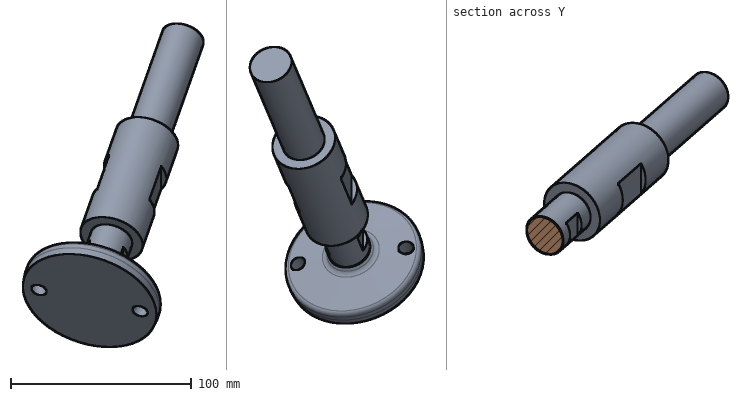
import cadquery as cq
import math


total_length = 197.0

foot_radius = 78.0 / 2
sole_radius = 38.5
lower_band_height = 4.25
rim_height = 7.1
rim_round_radius = 2.8
dish_angle = math.radians(9.7)
foot_height = 16.6
neck_top_radius = 11.6
neck_angle = math.radians(45)
neck_fillet_radius = 5.5

fixing_hole_diameter = 8.5
fixing_hole_offset = 29.1

stem_diameter = 24.0
stem_flat_width = 19.0
stem_flat_start = 23.8
stem_flat_length = 12.5

sleeve_diameter = 36.0
sleeve_start = 46.3
sleeve_length = 75.0
sleeve_flat_width = 30.0
sleeve_flat_length = sleeve_length / 3
sleeve_flat_start = sleeve_start + (sleeve_length - sleeve_flat_length) / 2


def cylinder_along_y(diameter, start, length):
    """Cylinder on the Y axis from Y = start towards +Y."""
    plane = cq.Workplane("XZ", origin=(0, start, 0))
    return plane.circle(diameter / 2).extrude(-length)


def cut_wrench_flats(body, diameter, width, start, length):
    """Cut two opposite flats, facing -X and +X, leaving the given width between them."""
    depth = (diameter - width) / 2
    for side in (-1, 1):
        middle = (side * (width + depth) / 2, start + length / 2, 0)
        body = body.cut(cq.Workplane("XY").box(depth, length, diameter).translate(middle))
    return body


def arc_point(centre, radius, angle):
    """Point on an arc, the angle measured from +X."""
    return (centre[0] + radius * math.cos(angle), centre[1] + radius * math.sin(angle))


def make_foot_disc():
    """Turned disc with a rounded rim, a dished upper face and a conical neck."""
    round_centre = (foot_radius - rim_round_radius, rim_height)
    round_end_angle = math.pi / 2 - dish_angle
    round_middle = arc_point(round_centre, rim_round_radius, round_end_angle / 2)
    round_end = arc_point(round_centre, rim_round_radius, round_end_angle)

    dish_slope = math.tan(dish_angle)
    neck_slope = math.tan(neck_angle)
    dish_height_at_neck_top = round_end[1] + (round_end[0] - neck_top_radius) * dish_slope
    corner_offset = (foot_height - dish_height_at_neck_top) / (neck_slope - dish_slope)
    corner = (neck_top_radius + corner_offset, foot_height - corner_offset * neck_slope)

    tangent_length = neck_fillet_radius * math.tan((neck_angle - dish_angle) / 2)
    fillet_start = arc_point(corner, tangent_length, -dish_angle)
    fillet_end = arc_point(corner, tangent_length, math.pi - neck_angle)
    fillet_centre = arc_point(fillet_start, neck_fillet_radius, math.pi / 2 - dish_angle)
    fillet_middle_angle = -math.pi / 2 - (neck_angle + dish_angle) / 2
    fillet_middle = arc_point(fillet_centre, neck_fillet_radius, fillet_middle_angle)

    return (
        cq.Workplane("XY")
        .lineTo(sole_radius, 0)
        .lineTo(foot_radius, lower_band_height)
        .lineTo(foot_radius, rim_height)
        .threePointArc(round_middle, round_end)
        .lineTo(*fillet_start)
        .threePointArc(fillet_middle, fillet_end)
        .lineTo(neck_top_radius, foot_height)
        .lineTo(0, foot_height)
        .close()
        .revolve(360, (0, 0), (0, 1))
    )


def cut_fixing_holes(disc):
    """Cut two holes that lean outwards from the sole to the dished face."""
    for side in (-1, 1):
        direction = cq.Vector(side * math.sin(dish_angle), math.cos(dish_angle), 0)
        start = cq.Vector(side * fixing_hole_offset, 0, 0) - direction * foot_height
        hole = cq.Solid.makeCylinder(fixing_hole_diameter / 2, 2 * foot_height, start, direction)
        disc = disc.cut(cq.Workplane(hole))
    return disc


def make_foot():
    """Foot disc and stem in one piece."""
    disc = cut_fixing_holes(make_foot_disc())
    stem = cylinder_along_y(stem_diameter, foot_height, total_length - foot_height)
    stem = cut_wrench_flats(stem, stem_diameter, stem_flat_width, stem_flat_start, stem_flat_length)
    return disc.union(stem)


def make_sleeve():
    """Sleeve bored to fit the stem."""
    sleeve = cylinder_along_y(sleeve_diameter, sleeve_start, sleeve_length)
    sleeve = cut_wrench_flats(
        sleeve, sleeve_diameter, sleeve_flat_width, sleeve_flat_start, sleeve_flat_length
    )
    return sleeve.cut(cylinder_along_y(stem_diameter, sleeve_start, sleeve_length))


foot = make_foot()
sleeve = make_sleeve()
result = cq.Compound.makeCompound([*foot.solids().vals(), *sleeve.solids().vals()])